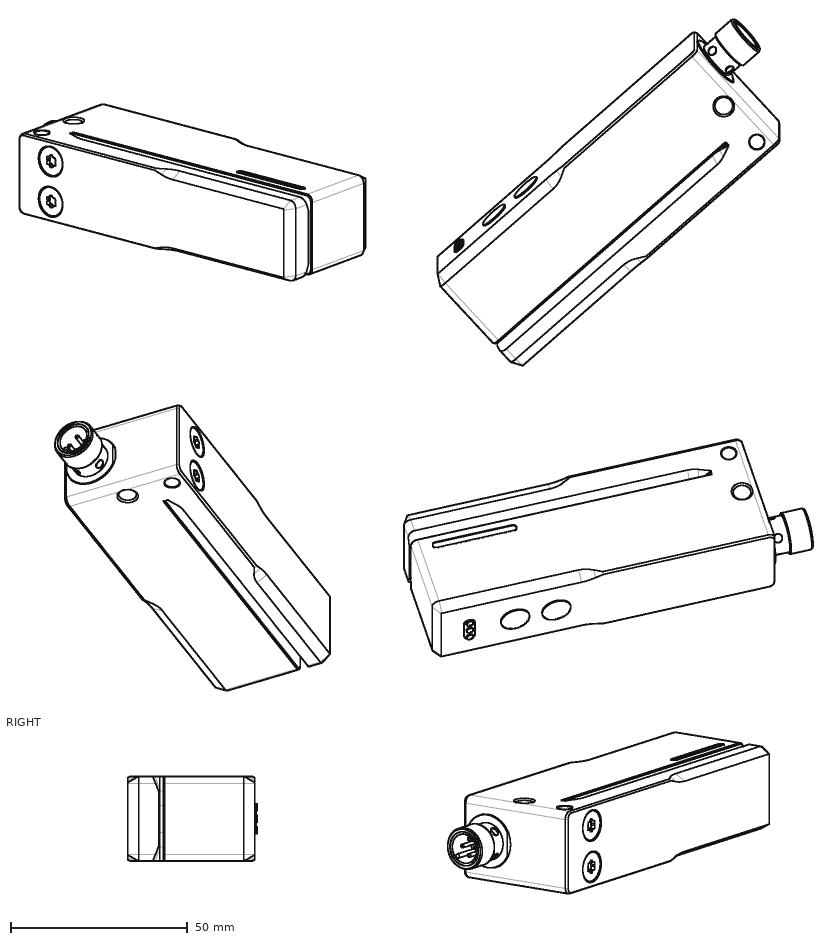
import cadquery as cq
import math

LENGTH = 100.0
WIDTH = 36.0
HEIGHT = 24.0
TOP = HEIGHT / 2
END_RADIUS = 2.0
BEVEL_ANGLE = math.radians(30)
SMALL_BEVEL = 0.7
LARGE_BEVEL = 3.1
BEVEL_START = 57.0
RAMP_ARC_LENGTH = 4.1
RAMP_ARC_RADIUS = 15.5
OVERCUT = 2.0

SLOT_LOW = 9.1
SLOT_HIGH = 10.1
SLOT_BEVEL = 0.35
SLOT_END = 15.0
SLOT_MOUTH = 11.6
SLOT_BEND_ANGLE = math.radians(45)
LEAD_WIDTH = 2.0
LEAD_ANGLE = math.radians(68)
LEAD_START = 17.8
LEAD_ARC_LENGTH = 2.8
LEAD_ARC_RADIUS = 7.9

HOLE_X = 5.0
LARGE_HOLE_Y = 18.5
LARGE_HOLE_DIAMETER = 5.0
LARGE_HOLE_MOUTH = 6.0
SMALL_HOLE_Y = 4.5
SMALL_HOLE_DIAMETER = 4.13
SMALL_HOLE_MOUTH = 4.5
SCREW_X = 12.0
SCREW_Z = 6.0
SCREW_SEAT_DIAMETER = 9.0
SCREW_HEAD_DIAMETER = 8.4
SCREW_SEAT_DEPTH = 0.2
SOCKET_CORE_DIAMETER = 3.0
SOCKET_LOBE_DIAMETER = 1.0
SOCKET_TIP_DIAMETER = 3.7
SOCKET_DEPTH = 1.5
SOCKET_LOBES = 6

GROOVE_START = 69.8
GROOVE_END = 94.4
GROOVE_Y = 13.5
GROOVE_WIDTH = 2.0
GROOVE_DEPTH = 0.4
BUTTON_XS = (64.4, 76.5)
BUTTON_DIAMETER = 8.4
BUTTON_HEIGHT = 0.35
LAMP_X = 89.9
LAMP_PAD_WIDTH = 3.25
LAMP_HEIGHT = 0.7
LAMP_DIAMETER = 2.0
LAMP_PITCH = 3.2

CONNECTOR_Y = 27.5
CONNECTOR_LENGTH = 11.8
RECESS_DIAMETER = 15.5
RECESS_DEPTH = 1.5
PLATE_DIAMETER = 15.3
PLATE_PROJECTION = 0.3
PLATE_FLAT_DISTANCE = 6.85
NECK_DIAMETER = 10.75
NUT_DIAMETER = 12.0
NUT_LENGTH = 6.75
NUT_CHAMFER = 0.3
NUT_FRONT_CHAMFER_LENGTH = 0.5
SLEEVE_DIAMETER = 9.8
SLEEVE_RECESS = 0.2
BORE_DIAMETER = 8.4
BORE_DEPTH = 9.0
PIN_DIAMETER = 1.0
PIN_CIRCLE_RADIUS = 2.4
PIN_COUNT = 4
PIN_RECESS = 2.2
PIN_TIP_CHAMFER = 0.35
ROOT_DEPTH = 1.0
KEY_DIAMETER = 1.2
KEY_CIRCLE_RADIUS = 3.6
KEY_RECESS = 0.5
GRIP_DIAMETER = 2.5
GRIP_DEPTH = 0.4
GRIP_X = -2.05
GRIP_COUNT = 4


def box_between(x_range, y_range, z_range):
    sizes = [high - low for low, high in (x_range, y_range, z_range)]
    corner = (x_range[0], y_range[0], z_range[0])
    return cq.Workplane("XY").box(*sizes, centered=False).translate(corner)


def x_cylinder(diameter, start, end, y=CONNECTOR_Y, z=0.0):
    """Cylinder along X between two X positions."""
    base = cq.Workplane("YZ", origin=(start, y, z))
    return base.circle(diameter / 2).extrude(end - start)


def y_cylinder(diameter, start, end, x, z):
    """Cylinder along Y between two Y positions."""
    base = cq.Workplane("XZ", origin=(x, start, z))
    return base.circle(diameter / 2).extrude(start - end)


def mirror_vertical(shape):
    return shape.mirror("XY")


def bevelled_block(bevel_width):
    """Full housing block with rounded ends and the rims of both sides bevelled."""
    outline = (
        cq.Sketch()
        .rect(LENGTH, HEIGHT)
        .vertices()
        .fillet(END_RADIUS)
        .moved(cq.Location(cq.Vector(LENGTH / 2, 0, 0)))
    )
    core_depth = WIDTH / 2 - bevel_width
    core = cq.Workplane("XZ").placeSketch(outline).extrude(core_depth)
    rim = (
        cq.Workplane("XZ", origin=(0, -core_depth, 0))
        .placeSketch(outline)
        .extrude(bevel_width, taper=math.degrees(BEVEL_ANGLE))
    )
    half = core.union(rim)
    return half.union(half.mirror("XZ")).translate((0, WIDTH / 2, 0))


def ramp_cutter(start, arc_length, arc_radius, depth, end):
    """Cutter standing on Z = 0 up to X = end: an arc at start, then a straight ramp, run out upward."""
    slope = math.asin(arc_length / arc_radius)
    arc_rise = arc_radius * (1 - math.cos(slope))
    middle_x = start - arc_radius * math.sin(slope / 2)
    middle_rise = arc_radius * (1 - math.cos(slope / 2))
    height = depth + OVERCUT
    ramp_end_x = start - arc_length - (height - arc_rise) / math.tan(slope)
    outline = cq.Workplane("XZ").moveTo(end, 0)
    if end > start:
        outline = outline.lineTo(start, 0)
    return (
        outline
        .threePointArc((middle_x, middle_rise), (start - arc_length, arc_rise))
        .lineTo(ramp_end_x, height)
        .lineTo(end, height)
        .close()
        .extrude(WIDTH / 2, both=True)
    )


def make_housing():
    """Small bevels at the connector end, running out into large bevels at the fork end."""
    cross_section = ((0, WIDTH), (-TOP, TOP))
    rear = bevelled_block(SMALL_BEVEL).intersect(box_between((0, BEVEL_START), *cross_section))
    nose = bevelled_block(LARGE_BEVEL).intersect(box_between((BEVEL_START, LENGTH), *cross_section))
    depth = LARGE_BEVEL * math.sin(BEVEL_ANGLE)
    near_cutter = (
        ramp_cutter(BEVEL_START, RAMP_ARC_LENGTH, RAMP_ARC_RADIUS, depth, BEVEL_START)
        .rotate((0, 0, 0), (1, 0, 0), math.degrees(BEVEL_ANGLE))
        .translate((0, LARGE_BEVEL, TOP))
    )
    far_cutter = near_cutter.mirror("XZ").translate((0, WIDTH, 0))
    for cutter in (near_cutter, far_cutter):
        rear = rear.cut(cutter).cut(mirror_vertical(cutter))
    return rear.union(nose)


def slot_cutter():
    """Fork slot whose inner end swells in an S curve toward mid height."""
    bend_radius = (SLOT_END - SLOT_MOUTH) / 2 / (1 - math.cos(SLOT_BEND_ANGLE))
    bend_height = bend_radius * math.sin(SLOT_BEND_ANGLE)
    middle_x = bend_radius * (1 - math.cos(SLOT_BEND_ANGLE / 2))
    middle_height = bend_radius * math.sin(SLOT_BEND_ANGLE / 2)
    turn = ((SLOT_MOUTH + SLOT_END) / 2, TOP - bend_height)
    foot = (SLOT_END, TOP - 2 * bend_height)
    upper_middle = (SLOT_MOUTH + middle_x, TOP - middle_height)
    lower_middle = (SLOT_END - middle_x, foot[1] + middle_height)
    upper_half = (
        cq.Workplane("XZ", origin=(0, SLOT_LOW, 0))
        .moveTo(LENGTH + OVERCUT, 0)
        .lineTo(LENGTH + OVERCUT, TOP)
        .lineTo(SLOT_MOUTH, TOP)
        .threePointArc(upper_middle, turn)
        .threePointArc(lower_middle, foot)
        .lineTo(SLOT_END, 0)
        .close()
        .extrude(SLOT_LOW - SLOT_HIGH)
    )
    return upper_half.union(mirror_vertical(upper_half))


def lead_in_cutter():
    """Steep lead-in along the upper inner edge of the lower prong."""
    depth = LEAD_WIDTH * math.sin(LEAD_ANGLE)
    tilted = (
        ramp_cutter(LEAD_START, LEAD_ARC_LENGTH, LEAD_ARC_RADIUS, depth, LENGTH + OVERCUT)
        .rotate((0, 0, 0), (1, 0, 0), -math.degrees(LEAD_ANGLE))
        .translate((0, SLOT_LOW - LEAD_WIDTH, TOP))
    )
    prong_space = box_between((0, LENGTH + OVERCUT), (0, SLOT_LOW), (0, TOP + OVERCUT))
    return tilted.intersect(prong_space)


def cut_slot(body):
    """Cut the fork slot, its lead-in, and break the inner edges of both prongs."""
    body = body.cut(slot_cutter())
    lead_in = lead_in_cutter()
    body = body.cut(lead_in).cut(mirror_vertical(lead_in))
    margin = 0.05
    fork_end = LENGTH - END_RADIUS - margin
    upper_rim = [
        edge
        for edge in body.edges().vals()
        if abs(edge.BoundingBox().ymin - SLOT_HIGH) < margin
        and abs(edge.BoundingBox().ymax - SLOT_HIGH) < margin
        and (edge.BoundingBox().xmin > fork_end or abs(abs(edge.Center().z) - TOP) < margin)
        and edge.BoundingBox().xlen + edge.BoundingBox().zlen > SLOT_BEVEL
    ]
    lower_corner = [
        edge
        for edge in body.edges("|Z").vals()
        if abs(edge.Center().y - SLOT_LOW) < margin and edge.Center().x > fork_end
    ]
    return body.newObject(upper_rim + lower_corner).chamfer(SLOT_BEVEL)


def cut_mounting_holes(body):
    """Two through holes along Z, chamfered at both ends."""
    holes = (
        (LARGE_HOLE_Y, LARGE_HOLE_DIAMETER, LARGE_HOLE_MOUTH),
        (SMALL_HOLE_Y, SMALL_HOLE_DIAMETER, SMALL_HOLE_MOUTH),
    )
    for y, diameter, mouth in holes:
        chamfer = (mouth - diameter) / 2
        half_outline = [
            (0, 0),
            (diameter / 2, 0),
            (diameter / 2, TOP - chamfer),
            (mouth / 2, TOP),
            (0, TOP),
        ]
        half_hole = (
            cq.Workplane("XZ")
            .polyline(half_outline)
            .close()
            .revolve(360, (0, 0), (0, 1))
            .translate((HOLE_X, y, 0))
        )
        body = body.cut(half_hole).cut(mirror_vertical(half_hole))
    return body


def cut_screws(body):
    """Screw heads in the near side: a conical seat down to each flat head, and a lobed socket."""
    seat_taper = math.degrees(math.atan2((SCREW_SEAT_DIAMETER - SCREW_HEAD_DIAMETER) / 2, SCREW_SEAT_DEPTH))
    lobe_circle_radius = (SOCKET_TIP_DIAMETER - SOCKET_LOBE_DIAMETER) / 2
    for z in (-SCREW_Z, SCREW_Z):
        seat = (
            cq.Workplane("XZ", origin=(SCREW_X, 0, z))
            .circle(SCREW_SEAT_DIAMETER / 2)
            .extrude(-SCREW_SEAT_DEPTH, taper=seat_taper)
        )
        body = body.cut(seat)
        body = body.cut(y_cylinder(SOCKET_CORE_DIAMETER, 0, SOCKET_DEPTH, SCREW_X, z))
        for index in range(SOCKET_LOBES):
            angle = math.pi / 2 + 2 * math.pi * index / SOCKET_LOBES
            lobe_x = SCREW_X + lobe_circle_radius * math.cos(angle)
            lobe_z = z + lobe_circle_radius * math.sin(angle)
            body = body.cut(y_cylinder(SOCKET_LOBE_DIAMETER, 0, SOCKET_DEPTH, lobe_x, lobe_z))
    return body


def cut_marker_groove(body):
    """Shallow round-ended groove in the top face above the sensing line."""
    groove = (
        cq.Workplane("XY", origin=((GROOVE_START + GROOVE_END) / 2, GROOVE_Y, TOP - GROOVE_DEPTH))
        .slot2D(GROOVE_END - GROOVE_START, GROOVE_WIDTH)
        .extrude(GROOVE_DEPTH)
    )
    return body.cut(groove)


def add_controls(body):
    """Two round buttons and a pad with three lamps on the far side."""
    for x in BUTTON_XS:
        body = body.union(y_cylinder(BUTTON_DIAMETER, WIDTH - OVERCUT, WIDTH + BUTTON_HEIGHT, x, 0))
    pad = (
        cq.Workplane("XZ", origin=(LAMP_X, WIDTH - OVERCUT, 0))
        .slot2D(BUTTON_DIAMETER, LAMP_PAD_WIDTH, 90)
        .extrude(-OVERCUT - BUTTON_HEIGHT)
    )
    body = body.union(pad)
    for z in (-LAMP_PITCH, 0, LAMP_PITCH):
        body = body.union(y_cylinder(LAMP_DIAMETER, WIDTH - OVERCUT, WIDTH + LAMP_HEIGHT, LAMP_X, z))
    return body


def cut_connector_recess(body):
    """Round recess in the rear face that holds the connector plate."""
    return body.cut(x_cylinder(RECESS_DIAMETER, 0, RECESS_DEPTH))


def make_connector():
    """Round plug on a plate with one flat, with a union nut, a bore, contact pins and a key."""
    front = -CONNECTOR_LENGTH
    flat_y = CONNECTOR_Y - PLATE_FLAT_DISTANCE
    plate = x_cylinder(PLATE_DIAMETER, -PLATE_PROJECTION, RECESS_DEPTH).intersect(
        box_between((-PLATE_PROJECTION, RECESS_DEPTH), (flat_y, WIDTH), (-TOP, TOP))
    )
    nut_radius = NUT_DIAMETER / 2
    nut_end = front + NUT_LENGTH
    nut_outline = [
        (front, 0),
        (front, nut_radius - NUT_CHAMFER),
        (front + NUT_FRONT_CHAMFER_LENGTH, nut_radius),
        (nut_end - NUT_CHAMFER, nut_radius),
        (nut_end, nut_radius - NUT_CHAMFER),
        (nut_end, 0),
    ]
    nut = (
        cq.Workplane("XY", origin=(0, CONNECTOR_Y, 0))
        .polyline(nut_outline)
        .close()
        .revolve(360, (0, 0), (1, 0))
    )
    plug = plate.union(x_cylinder(NECK_DIAMETER, nut_end, 0)).union(nut)
    plug = plug.cut(x_cylinder(SLEEVE_DIAMETER, front, front + SLEEVE_RECESS))
    bore_end = front + BORE_DEPTH
    root = bore_end + ROOT_DEPTH
    plug = plug.cut(x_cylinder(BORE_DIAMETER, front, bore_end))

    for index in range(PIN_COUNT):
        angle = 2 * math.pi * index / PIN_COUNT
        pin_y = CONNECTOR_Y + PIN_CIRCLE_RADIUS * math.cos(angle)
        pin_z = PIN_CIRCLE_RADIUS * math.sin(angle)
        pin = x_cylinder(PIN_DIAMETER, front + PIN_RECESS, root, pin_y, pin_z)
        plug = plug.union(pin.faces("<X").chamfer(PIN_TIP_CHAMFER))

    key_offset = KEY_CIRCLE_RADIUS * math.sqrt(0.5)
    key_y = CONNECTOR_Y + key_offset
    plug = plug.union(x_cylinder(KEY_DIAMETER, front + KEY_RECESS, root, key_y, -key_offset))

    grip = (
        cq.Workplane("XY", origin=(GRIP_X, CONNECTOR_Y, NECK_DIAMETER / 2 - GRIP_DEPTH))
        .circle(GRIP_DIAMETER / 2)
        .extrude(OVERCUT)
    )
    axis_start = (0, CONNECTOR_Y, 0)
    axis_end = (1, CONNECTOR_Y, 0)
    for index in range(GRIP_COUNT):
        plug = plug.cut(grip.rotate(axis_start, axis_end, (index + 0.5) * 360 / GRIP_COUNT))
    return plug


housing = make_housing()
housing = cut_slot(housing)
housing = cut_mounting_holes(housing)
housing = cut_screws(housing)
housing = cut_marker_groove(housing)
housing = add_controls(housing)
housing = cut_connector_recess(housing)
result = housing.union(make_connector())